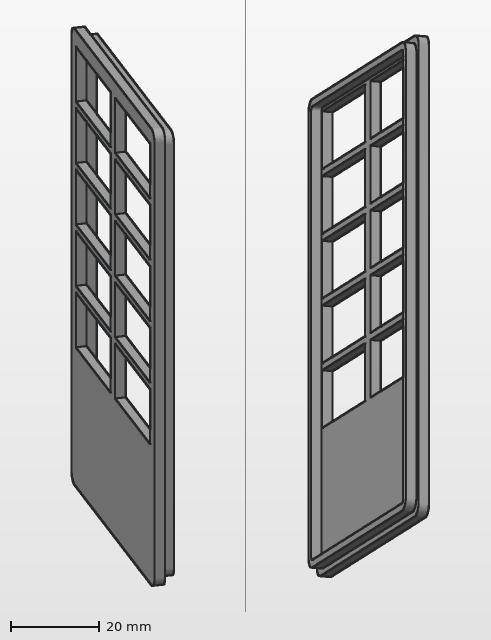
import cadquery as cq

plate_width = 66.55
plate_height = 112.2
corner_radius = 2.54

total_thickness = 5.08
flange_thickness = total_thickness / 2
rim_depth = total_thickness - flange_thickness
flange_front_y = -total_thickness / 2
rim_front_y = flange_front_y + flange_thickness

rim_inset = 1.45
rim_wall = 1.78

column_count = 2
row_count = 5
upright_width = 3.556
window_width = (plate_width - (column_count + 1) * upright_width) / column_count
window_height = 13.46
rail_height = 1.64
top_margin = 4.06

column_pitch = window_width + upright_width
row_pitch = window_height + rail_height
top_row_z = plate_height / 2 - top_margin - window_height / 2


def rounded_plate(edge_offset, radius, thickness, front_y):
    """Upright plate, edge_offset inside the flange outline, with its front face at front_y."""
    return (
        cq.Workplane("XZ", origin=(0, front_y, 0))
        .rect(plate_width - 2 * edge_offset, plate_height - 2 * edge_offset)
        .extrude(-thickness)
        .edges("|Y")
        .fillet(radius)
    )


def rear_rim():
    """Closed rim of even wall thickness standing on the back of the flange."""
    outer = rounded_plate(rim_inset, corner_radius, rim_depth, rim_front_y)
    pocket = rounded_plate(rim_inset + rim_wall, corner_radius - rim_wall, rim_depth, rim_front_y)
    return outer.cut(pocket)


def window_cutters():
    """Blocks through the flange, one for each window."""
    centers = []
    for column in range(column_count):
        x = (column - (column_count - 1) / 2) * column_pitch
        for row in range(row_count):
            centers.append((x, top_row_z - row * row_pitch))
    return (
        cq.Workplane("XZ", origin=(0, flange_front_y, 0))
        .pushPoints(centers)
        .rect(window_width, window_height)
        .extrude(-flange_thickness)
    )


flange = rounded_plate(0, corner_radius, flange_thickness, flange_front_y)
result = flange.cut(window_cutters()).union(rear_rim())